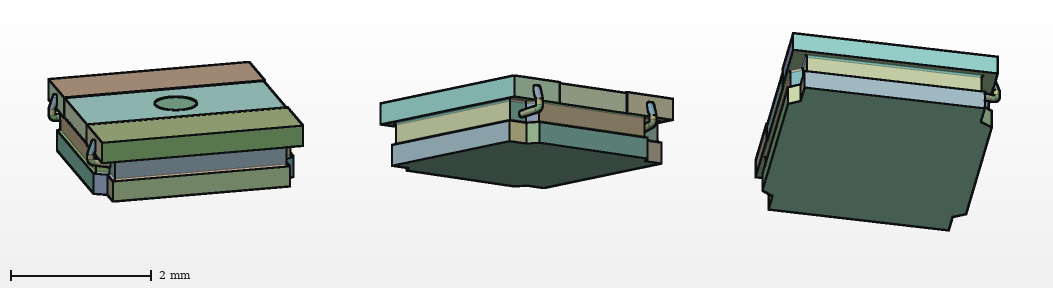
import cadquery as cq
import math

height = 0.92
flange_thickness = 0.307
bottom_thickness = 0.305
top_flange_base = height - flange_thickness

top_width = 2.95
strip_length = 2.963
strip_width = 0.85
strip_step = 0.012
mark_diameter = 0.602
mark_depth = 0.012

bottom_width = 2.825
front_y = -strip_length / 2
back_y = strip_length / 2 - strip_step
corner_y = 1.305
facet_outer_x = 1.102
facet_inner_x = 1.005

waist_inset = 0.04
waist_fillet = 0.025

wire_diameter = 0.1
wire_x = 1.055
wire_reach = 0.107
wire_y = front_y - wire_reach + wire_diameter / 2
tip_base = 0.62
tip_top = 0.825
tip_lean = 0.09
tip_diameter = 0.135
tip_fillet = 0.037
bend_radius = 0.055
bend_angle = 79.0
tail_length = 0.307
left_tail_turn = 19.0
right_tail_turn = -3.0
left_bend_top = 0.53
right_bend_top = 0.553


def stepped_outline():
    """Plan outline of the bottom flange, as a closed workplane wire."""
    side_x = bottom_width / 2
    return cq.Workplane("XY").polyline([
        (-side_x, -corner_y), (-facet_outer_x, -corner_y), (-facet_inner_x, front_y),
        (facet_inner_x, front_y), (facet_outer_x, -corner_y), (side_x, -corner_y),
        (side_x, corner_y), (facet_outer_x, corner_y), (facet_inner_x, back_y),
        (-facet_inner_x, back_y), (-facet_outer_x, corner_y), (-side_x, corner_y),
    ]).close()


def make_top_flange():
    """Plate with two proud terminal strips and a round sunken mark."""
    middle_height = flange_thickness - strip_step
    flange = (cq.Workplane("XY", origin=(0, 0, top_flange_base))
              .box(top_width, strip_length - 2 * strip_step, middle_height,
                   centered=(True, True, False)))
    for side in (-1, 1):
        strip_x = side * (top_width - strip_width) / 2
        strip = (cq.Workplane("XY", origin=(strip_x, 0, top_flange_base))
                 .box(strip_width, strip_length, flange_thickness, centered=(True, True, False)))
        flange = flange.union(strip)
    mark_floor = height - strip_step - mark_depth
    mark = (cq.Workplane("XY", origin=(0, 0, mark_floor))
            .circle(mark_diameter / 2).extrude(mark_depth))
    return flange.cut(mark)


def make_core():
    """Both flanges and the waist, with fillets where the waist meets them."""
    bottom = stepped_outline().extrude(bottom_thickness)
    waist = (stepped_outline().offset2D(-waist_inset, "intersection")
             .extrude(top_flange_base - bottom_thickness)
             .translate((0, 0, bottom_thickness)))
    core = bottom.union(waist).union(make_top_flange())
    ends = waist.faces(">Z or <Z").edges().vals()
    end_centers = [end.Center() for end in ends]
    joints = [edge for edge in core.edges().vals()
              if any((edge.Center() - center).Length < 0.0003 for center in end_centers)]
    return core.newObject(joints).fillet(waist_fillet)


def make_tip(x):
    """Leaning tip that swells upwards from the wire and ends in a rounded cap."""
    tip = (cq.Workplane("XY", origin=(x, wire_y, tip_base))
           .circle(wire_diameter / 2)
           .workplane(offset=tip_top - tip_base)
           .center(0, tip_lean)
           .circle(tip_diameter / 2)
           .loft())
    return tip.faces(">Z").edges().fillet(tip_fillet)


def make_wire(x, tail_turn, bend_top, core):
    """Lead wire: swelling tip, upright, bend and tail, trimmed flush with the core."""
    turn = math.radians(tail_turn)
    bend = math.radians(bend_angle)
    inward = cq.Vector(-math.sin(turn), math.cos(turn), 0)
    up = cq.Vector(0, 0, 1)

    upright_top = cq.Vector(x, wire_y, tip_base)
    upright_end = cq.Vector(x, wire_y, bend_top)
    bend_center = upright_end + inward * bend_radius

    def on_bend(angle):
        return bend_center - (inward * math.cos(angle) + up * math.sin(angle)) * bend_radius

    bend_end = on_bend(bend)
    tail_end = bend_end + (inward * math.sin(bend) - up * math.cos(bend)) * tail_length
    path = cq.Wire.assembleEdges([
        cq.Edge.makeLine(upright_top, upright_end),
        cq.Edge.makeThreePointArc(upright_end, on_bend(bend / 2), bend_end),
        cq.Edge.makeLine(bend_end, tail_end),
    ])
    wire = (cq.Workplane("XY", origin=upright_top.toTuple())
            .circle(wire_diameter / 2).sweep(path).union(make_tip(x)))
    return max(wire.cut(core).solids().vals(), key=lambda solid: solid.Volume())


core = make_core()
wires = [make_wire(x, tail_turn, bend_top, core) for x, tail_turn, bend_top in (
    (-wire_x, left_tail_turn, left_bend_top),
    (wire_x, right_tail_turn, right_bend_top),
)]

result = cq.Compound.makeCompound([core.val(), *wires])